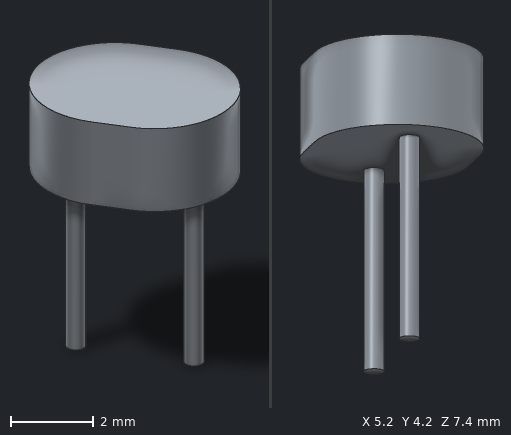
import cadquery as cq

total_height = 7.4
housing_length = 5.2
housing_width = 4.2
housing_height = 2.295
pin_diameter = 0.5
pin_spacing = 3.0

pin_length = total_height - housing_height


def make_housing():
    """Block with two flat sides and full-round ends, standing on Z = 0."""
    return cq.Workplane("XY").slot2D(housing_length, housing_width).extrude(housing_height)


def make_pin(x):
    """Round pin hanging down from the underside of the housing."""
    return cq.Workplane("XY").center(x, 0).circle(pin_diameter / 2).extrude(-pin_length)


housing = make_housing()
pins = [make_pin(side * pin_spacing / 2) for side in (-1, 1)]

result = cq.Compound.makeCompound([housing.val(), *[pin.val() for pin in pins]])